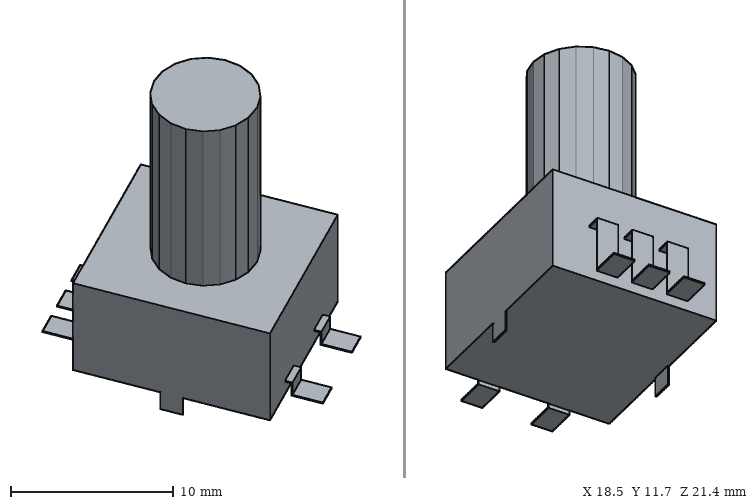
import cadquery as cq

TOTAL_LENGTH = 18.5
TOTAL_HEIGHT = 21.4

BODY_LENGTH = 13.0
BODY_WIDTH = 11.7
BODY_HEIGHT = 7.21

SHEET = 0.1

TAB_WIDTH = 1.5
TAB_DROP = 1.4

SHAFT_SIDES = 20
SHAFT_DIAMETER = 6.8
SHAFT_HEIGHT = TOTAL_HEIGHT - BODY_HEIGHT - TAB_DROP

LEAD_WIDTH = 1.5
LEAD_PITCH = 2.5
LEFT_ARM = 1.0
LEFT_LEAD_HEIGHT = 3.9
RIGHT_ARM = 0.5
RIGHT_LEAD_HEIGHT = 1.11
FOOT_LENGTH = (TOTAL_LENGTH - BODY_LENGTH - LEFT_ARM - RIGHT_ARM) / 2


def make_body():
    return cq.Workplane("XY").box(BODY_LENGTH, BODY_WIDTH, BODY_HEIGHT, centered=(True, True, False))


def make_shaft():
    """Many-sided prism with one corner pointing along +X."""
    return (
        cq.Workplane("XY", origin=(0, 0, BODY_HEIGHT))
        .polygon(SHAFT_SIDES, SHAFT_DIAMETER)
        .extrude(SHAFT_HEIGHT)
    )


def make_lead(side, arm, height, y):
    """Z-shaped lead centred on y; side is -1 for the -X face and +1 for the +X face."""
    wall = BODY_LENGTH / 2
    leg_outer = wall + arm
    leg_inner = leg_outer - SHEET
    foot_end = leg_outer + FOOT_LENGTH
    profile = [
        (wall, height),
        (leg_outer, height),
        (leg_outer, SHEET),
        (foot_end, SHEET),
        (foot_end, 0),
        (leg_inner, 0),
        (leg_inner, height - SHEET),
        (wall, height - SHEET),
    ]
    return (
        cq.Workplane("XZ", origin=(0, y, 0))
        .polyline([(side * x, z) for x, z in profile])
        .close()
        .extrude(LEAD_WIDTH / 2, both=True)
    )


def make_tab(side):
    """Thin tab below the body; side is -1 for the front face and +1 for the back face."""
    tab_y = side * (BODY_WIDTH - SHEET) / 2
    return cq.Workplane("XY").box(TAB_WIDTH, SHEET, TAB_DROP).translate((0, tab_y, -TAB_DROP / 2))


result = make_body().union(make_shaft())

for row in (-1, 0, 1):
    result = result.union(make_lead(-1, LEFT_ARM, LEFT_LEAD_HEIGHT, row * LEAD_PITCH))

for row in (-1, 1):
    result = result.union(make_lead(1, RIGHT_ARM, RIGHT_LEAD_HEIGHT, row * LEAD_PITCH))

for side in (-1, 1):
    result = result.union(make_tab(side))